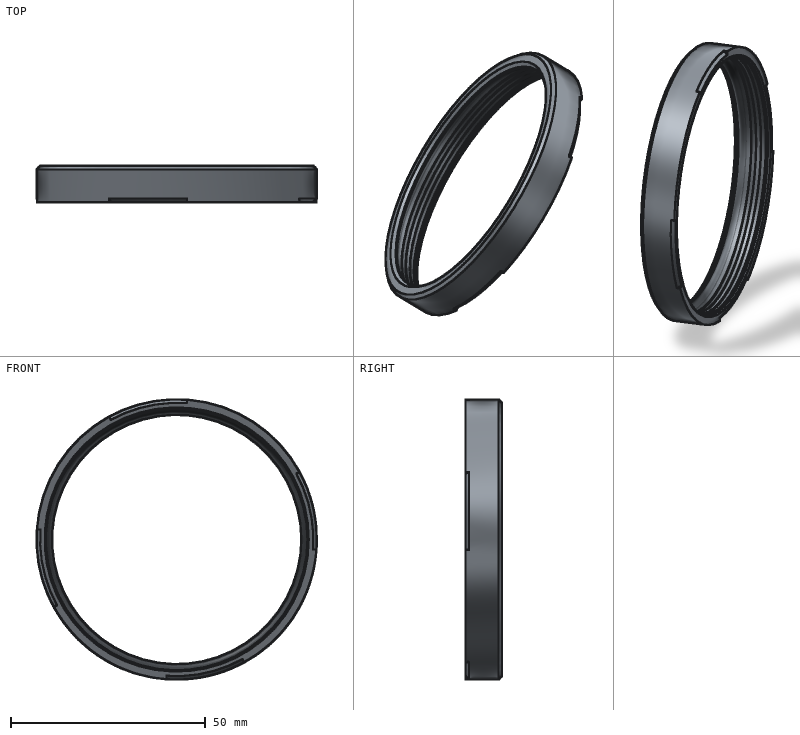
import cadquery as cq

outer_radius = 36.0
width = 9.4
front_y = -width / 2
back_y = width / 2
edge_chamfer = 0.9

lip_radius = 32.0
lip_face_width = 0.4
lip_land = 0.4
cove_inner_radius = lip_radius + lip_face_width
thread_crest_radius = 33.55
mouth_radius = 33.9
mouth_chamfer_length = 0.6
cove_radius = 1.5
lip_back_y = back_y - edge_chamfer
lip_front_y = lip_back_y - lip_land
cove_start_y = lip_front_y - cove_radius

groove_count = 2
groove_pitch = 2.7
groove_width = groove_pitch / 2
groove_depth = 0.3
first_groove_y = cove_start_y - groove_count * groove_pitch

bevel_count = 4
bevel_size = 0.9
bevel_start = -4.2
bevel_sweep = 33.0


def revolve_around_y(profile, angle=360):
    return profile.close().revolve(angle, (0, 0, 0), (0, 1, 0))


def ring_body():
    profile = (
        cq.Workplane("XY")
        .moveTo(mouth_radius, front_y)
        .lineTo(outer_radius, front_y)
        .lineTo(outer_radius, back_y - edge_chamfer)
        .lineTo(outer_radius - edge_chamfer, back_y)
        .lineTo(lip_radius + edge_chamfer, back_y)
        .lineTo(lip_radius, lip_back_y)
        .lineTo(lip_radius, lip_front_y)
        .lineTo(cove_inner_radius, lip_front_y)
        .radiusArc((thread_crest_radius, cove_start_y), cove_radius)
        .lineTo(thread_crest_radius, front_y + mouth_chamfer_length)
    )
    return revolve_around_y(profile)


def thread_groove(groove_front_y):
    root_radius = thread_crest_radius + groove_depth
    groove_back_y = groove_front_y + groove_width
    profile = (
        cq.Workplane("XY")
        .moveTo(lip_radius, groove_front_y)
        .lineTo(root_radius, groove_front_y)
        .lineTo(root_radius, groove_back_y)
        .lineTo(lip_radius, groove_back_y)
    )
    return revolve_around_y(profile)


def edge_bevel(start_angle):
    profile = (
        cq.Workplane("XY")
        .moveTo(outer_radius - bevel_size, front_y)
        .lineTo(outer_radius, front_y)
        .lineTo(outer_radius, front_y + bevel_size)
    )
    segment = revolve_around_y(profile, bevel_sweep)
    return segment.rotate((0, 0, 0), (0, 1, 0), -start_angle - bevel_sweep)


result = ring_body()
for index in range(groove_count):
    result = result.cut(thread_groove(first_groove_y + index * groove_pitch))
for index in range(bevel_count):
    result = result.cut(edge_bevel(bevel_start + index * 360 / bevel_count))